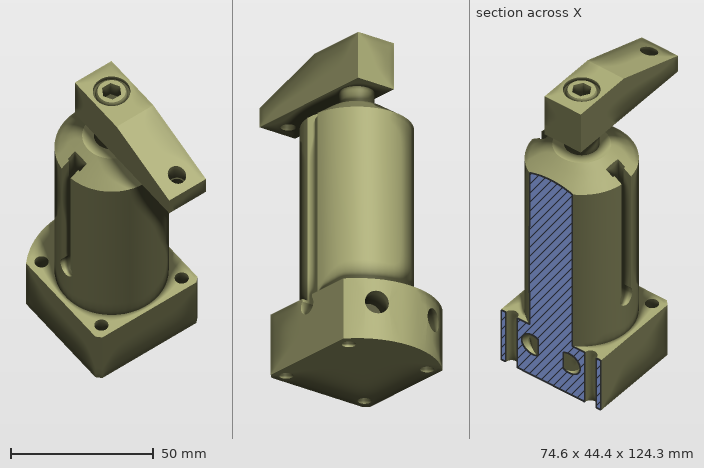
import cadquery as cq
import math

TOTAL_HEIGHT = 124.3
OVERLAP = 1.2

BASE_RADIUS = 30.1
BASE_HALF_WIDTH = 22.2
BASE_END_X = 22.1
BASE_HEIGHT = 23.0
BASE_CHAMFER = 1.7
MOUNT_HOLE_OFFSET = 17.5
MOUNT_HOLE_DIAMETER = 5.0

PORT_DIAMETER = 8.6
PORT_HEIGHT = 14.2
PORT_ANGLE = 25.0
PORT_DEPTH = 11.8

BARREL_RADIUS = 20.0
BARREL_TOP = 99.3
CONE_HEIGHT = 6.5
CONE_TOP_RADIUS = 10.3

SLOT_WIDTH = 5.3
SLOT_INNER_WIDTH = 7.0
SLOT_FLOOR_Y = 13.4
SLOT_LIP_Y = 16.5
FRONT_SLOT_END_Z = 39.3
REAR_SLOT_END_Z = 19.8

ARM_HEIGHT = 17.5
ARM_WIDTH = 16.0
ARM_BACK_X = -10.8
ARM_TIP_X = 44.5
ARM_FLAT_END_X = 13.7
ARM_TIP_HEIGHT = 7.2
ARM_BOTTOM = TOTAL_HEIGHT - ARM_HEIGHT
TIP_HOLE_X = 38.3
TIP_HOLE_DIAMETER = 5.5
TIP_COUNTERBORE_DIAMETER = 6.5
TIP_HOLE_STEP_HEIGHT = ARM_TIP_HEIGHT / 2

ROD_RADIUS = 6.2
ROD_TAPER_START = ARM_BOTTOM - 1.5
ROD_END_RADIUS = 5.78
ROD_TIP_RADIUS = 5.0
ROD_CHAMFER_HEIGHT = 1.6
ROD_SHOULDER = TOTAL_HEIGHT - ROD_CHAMFER_HEIGHT
ARM_RECESS_DIAMETER = 13.2
HEX_FLATS = 6.3
HEX_DEPTH = 6.2
HEX_TURN = 30.0


def make_base():
    """Flange with straight sides, a round -X side and drilled corners."""
    arc_start_x = -math.sqrt(BASE_RADIUS**2 - BASE_HALF_WIDTH**2)
    base = (
        cq.Workplane("XY")
        .moveTo(arc_start_x, -BASE_HALF_WIDTH)
        .lineTo(BASE_END_X, -BASE_HALF_WIDTH)
        .lineTo(BASE_END_X, BASE_HALF_WIDTH)
        .lineTo(arc_start_x, BASE_HALF_WIDTH)
        .threePointArc((-BASE_RADIUS, 0), (arc_start_x, -BASE_HALF_WIDTH))
        .close()
        .extrude(BASE_HEIGHT)
        .edges("|Z and >X")
        .chamfer(BASE_CHAMFER)
    )
    mount_holes = (
        cq.Workplane("XY")
        .rect(2 * MOUNT_HOLE_OFFSET, 2 * MOUNT_HOLE_OFFSET, forConstruction=True)
        .vertices()
        .circle(MOUNT_HOLE_DIAMETER / 2)
        .extrude(BASE_HEIGHT)
    )
    return base.cut(mount_holes)


def make_port(angle):
    """Flat-bottomed radial bore, turned by angle away from -X."""
    return (
        cq.Workplane("YZ", origin=(-BASE_RADIUS - OVERLAP, 0, 0))
        .center(0, PORT_HEIGHT)
        .circle(PORT_DIAMETER / 2)
        .extrude(PORT_DEPTH + OVERLAP)
        .rotate((0, 0, 0), (0, 0, 1), angle)
    )


def make_barrel_and_rod():
    """Barrel, its conical shoulder and the tapered rod end in one turned shape."""
    return (
        cq.Workplane("XZ")
        .moveTo(0, BASE_HEIGHT - OVERLAP)
        .lineTo(BARREL_RADIUS, BASE_HEIGHT - OVERLAP)
        .lineTo(BARREL_RADIUS, BARREL_TOP - CONE_HEIGHT)
        .lineTo(CONE_TOP_RADIUS, BARREL_TOP)
        .lineTo(ROD_RADIUS, BARREL_TOP)
        .lineTo(ROD_RADIUS, ROD_TAPER_START)
        .lineTo(ROD_END_RADIUS, ROD_SHOULDER)
        .lineTo(ROD_TIP_RADIUS, TOTAL_HEIGHT)
        .lineTo(0, TOTAL_HEIGHT)
        .close()
        .revolve(360, (0, 0, 0), (0, 1, 0))
    )


def make_t_slot(angle, end_z):
    """T-slot open at the top, with a round entry hole at its lower end."""
    slot_height = BARREL_TOP - end_z
    slot_depth = BASE_HALF_WIDTH + OVERLAP - SLOT_FLOOR_Y
    start = (0, -SLOT_FLOOR_Y, end_z)
    upward = (True, False, False)
    corner = cq.Workplane("XY", origin=start)
    narrow = corner.box(SLOT_WIDTH, slot_depth, slot_height, centered=upward)
    wide = corner.box(SLOT_INNER_WIDTH, SLOT_LIP_Y - SLOT_FLOOR_Y, slot_height, centered=upward)
    narrow = narrow.translate((0, -slot_depth, 0))
    wide = wide.translate((0, SLOT_FLOOR_Y - SLOT_LIP_Y, 0))
    entry = cq.Workplane("XZ", origin=start).circle(SLOT_INNER_WIDTH / 2).extrude(slot_depth)
    return narrow.union(wide).union(entry).rotate((0, 0, 0), (0, 0, 1), angle)


def make_hex_socket():
    """Hexagonal socket in the rod end, with two corners on the Y axis."""
    return (
        cq.Workplane("XY", origin=(0, 0, TOTAL_HEIGHT - HEX_DEPTH))
        .polygon(6, HEX_FLATS / math.cos(math.pi / 6))
        .extrude(HEX_DEPTH)
        .rotate((0, 0, 0), (0, 0, 1), HEX_TURN)
    )


def make_cylinder_body():
    """Base, barrel and rod as one solid."""
    body = make_base().union(make_barrel_and_rod())
    for port_angle in (-PORT_ANGLE, PORT_ANGLE):
        body = body.cut(make_port(port_angle))
    for slot_angle, end_z in ((0, FRONT_SLOT_END_Z), (180, REAR_SLOT_END_Z)):
        body = body.cut(make_t_slot(slot_angle, end_z))
    return body.cut(make_hex_socket())


def make_clamp_arm():
    """Arm with a sloped nose, a bore that fits the rod and a stepped tip hole."""
    arm = (
        cq.Workplane("XZ")
        .moveTo(ARM_BACK_X, ARM_BOTTOM)
        .lineTo(ARM_TIP_X, ARM_BOTTOM)
        .lineTo(ARM_TIP_X, ARM_BOTTOM + ARM_TIP_HEIGHT)
        .lineTo(ARM_FLAT_END_X, TOTAL_HEIGHT)
        .lineTo(ARM_BACK_X, TOTAL_HEIGHT)
        .close()
        .extrude(ARM_WIDTH / 2, both=True)
    )
    recess = (
        cq.Workplane("XY", origin=(0, 0, ROD_SHOULDER))
        .circle(ARM_RECESS_DIAMETER / 2)
        .extrude(ROD_CHAMFER_HEIGHT)
    )
    tip_hole = (
        cq.Workplane("XY", origin=(TIP_HOLE_X, 0, ARM_BOTTOM))
        .circle(TIP_HOLE_DIAMETER / 2)
        .extrude(ARM_HEIGHT)
    )
    tip_counterbore = (
        cq.Workplane("XY", origin=(TIP_HOLE_X, 0, ARM_BOTTOM + TIP_HOLE_STEP_HEIGHT))
        .circle(TIP_COUNTERBORE_DIAMETER / 2)
        .extrude(ARM_HEIGHT)
    )
    rod_bore = make_barrel_and_rod()
    return arm.cut(rod_bore).cut(recess).cut(tip_hole).cut(tip_counterbore)


cylinder_body = make_cylinder_body()
clamp_arm = make_clamp_arm()

result = cq.Compound.makeCompound([cylinder_body.val(), clamp_arm.val()])